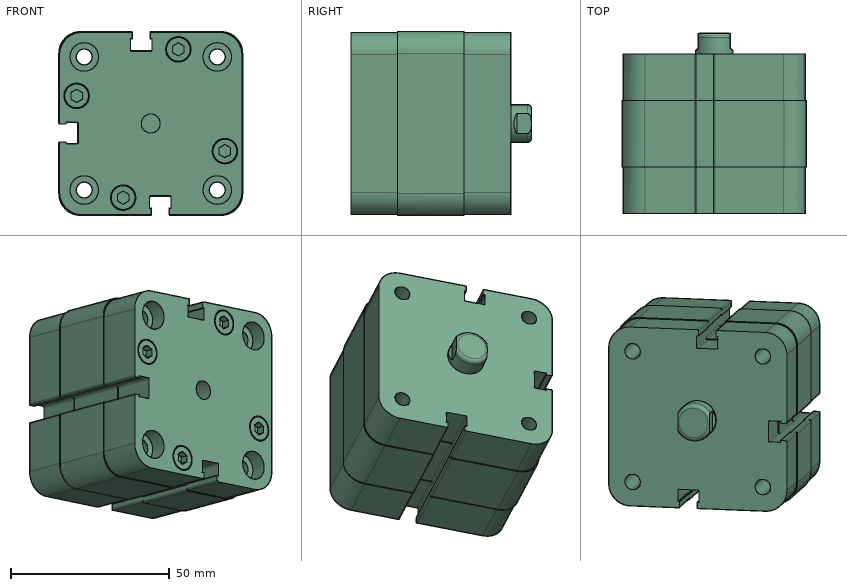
import cadquery as cq
import math


barrel_width = 58.1
cap_width = 57.5
corner_radius = 7.0
barrel_length = 21.0
cap_length = 14.75
body_length = barrel_length + 2 * cap_length
overall_length = 57.0

rod_diameter = 11.95
rod_end_radius = 1.3
rod_root = cap_length + barrel_length
flat_spacing = 10.15
flat_length = 4.65
flat_depth = (rod_diameter - flat_spacing) / 2

slot_angles = (0, -90, 180)
slot_offset = 3.0
slot_mouth_width = 5.6
slot_floor_width = 6.75
slot_lip_depth = 2.05
slot_depth = 6.0
slot_edge_radius = 0.4

mount_hole_pitch = 42.0
mount_hole_diameter = 4.95
counterbore_diameter = 9.0
counterbore_depth = 5.45

screw_reach = 23.4
screw_offset = 8.7
screw_recess_diameter = 8.0
screw_head_diameter = 7.5
screw_recess_depth = 4.65
socket_across_flats = 3.6
socket_depth = 2.9

centre_hole_diameter = 6.0
centre_hole_depth = 7.0


def section_at(y):
    """Workplane across the rod axis: local x is X, local y is Z, and extruding goes toward -Y."""
    return cq.Workplane("XZ", origin=(0, y, 0))


def make_slot(y, width, length):
    """T-slot in the +Z side of a body section, with rounded mouth edges and rounded floor corners."""
    surface = width / 2
    floor_height = slot_depth - slot_lip_depth
    floor = section_at(y).center(-slot_offset, surface - slot_lip_depth - floor_height / 2)
    floor = floor.rect(slot_floor_width, floor_height).extrude(-length)
    floor = floor.edges("|Y and <Z").fillet(slot_edge_radius)
    half_mouth = slot_mouth_width / 2
    mouth = (
        section_at(y)
        .center(-slot_offset, surface)
        .moveTo(-half_mouth - slot_edge_radius, 0)
        .radiusArc((-half_mouth, -slot_edge_radius), slot_edge_radius)
        .lineTo(-half_mouth, -slot_depth / 2)
        .lineTo(half_mouth, -slot_depth / 2)
        .lineTo(half_mouth, -slot_edge_radius)
        .radiusArc((half_mouth + slot_edge_radius, 0), slot_edge_radius)
        .close()
        .extrude(-length)
    )
    return floor.union(mouth)


def body_section(y, width, length):
    """Slotted square bar with rounded corners that starts at y and runs toward +Y."""
    bar = section_at(y).rect(width, width).extrude(-length)
    bar = bar.edges("|Y").fillet(corner_radius)
    slot = make_slot(y, width, length)
    for angle in slot_angles:
        bar = bar.cut(slot.rotate((0, 0, 0), (0, 1, 0), angle))
    return bar


def make_body():
    """Closed cap, barrel and rod cap stacked along Y."""
    closed_cap = body_section(0, cap_width, cap_length)
    barrel = body_section(cap_length, barrel_width, barrel_length)
    rod_cap = body_section(cap_length + barrel_length, cap_width, cap_length)
    return closed_cap.union(barrel).union(rod_cap)


def make_rod():
    """Rod rooted in the rod cap, with a rounded end.

    A flat on each of its -X and +X sides ends in a 45 degree ramp.
    """
    radius = rod_diameter / 2
    profile = (
        cq.Workplane("XY")
        .moveTo(0, rod_root)
        .lineTo(radius, rod_root)
        .lineTo(radius, overall_length - rod_end_radius)
        .radiusArc((radius - rod_end_radius, overall_length), -rod_end_radius)
        .lineTo(0, overall_length)
        .close()
    )
    rod = profile.revolve(360, (0, 0, 0), (0, 1, 0))
    flat_start = overall_length - flat_length
    for side in (-1, 1):
        flat_cut = (
            cq.Workplane("XY")
            .moveTo(side * flat_spacing / 2, overall_length)
            .lineTo(side * flat_spacing / 2, flat_start)
            .lineTo(side * radius, flat_start - flat_depth)
            .lineTo(side * radius, overall_length)
            .close()
            .extrude(radius, both=True)
        )
        rod = rod.cut(flat_cut)
    return rod


def make_mount_holes():
    """Through holes at the four corners, counterbored from the closed end."""
    corners = section_at(0).rect(mount_hole_pitch, mount_hole_pitch, forConstruction=True).vertices()
    through = corners.circle(mount_hole_diameter / 2).extrude(-body_length)
    counterbores = corners.circle(counterbore_diameter / 2).extrude(-counterbore_depth)
    return through.union(counterbores)


def make_screw_cut(x, z):
    """Gap around a flush screw head, together with its hexagon socket."""
    centre = section_at(0).center(x, z)
    gap = centre.circle(screw_recess_diameter / 2).circle(screw_head_diameter / 2)
    gap = gap.extrude(-screw_recess_depth)
    socket_across_corners = socket_across_flats / math.cos(math.pi / 6)
    socket = centre.transformed(rotate=(0, 0, 30)).polygon(6, socket_across_corners)
    return gap.union(socket.extrude(-socket_depth))


body = make_body().cut(make_mount_holes())

screw_centres = [
    (screw_offset, screw_reach),
    (screw_reach, -screw_offset),
    (-screw_offset, -screw_reach),
    (-screw_reach, screw_offset),
]
for screw_x, screw_z in screw_centres:
    body = body.cut(make_screw_cut(screw_x, screw_z))

centre_hole = section_at(0).circle(centre_hole_diameter / 2).extrude(-centre_hole_depth)
body = body.cut(centre_hole)

result = body.union(make_rod())